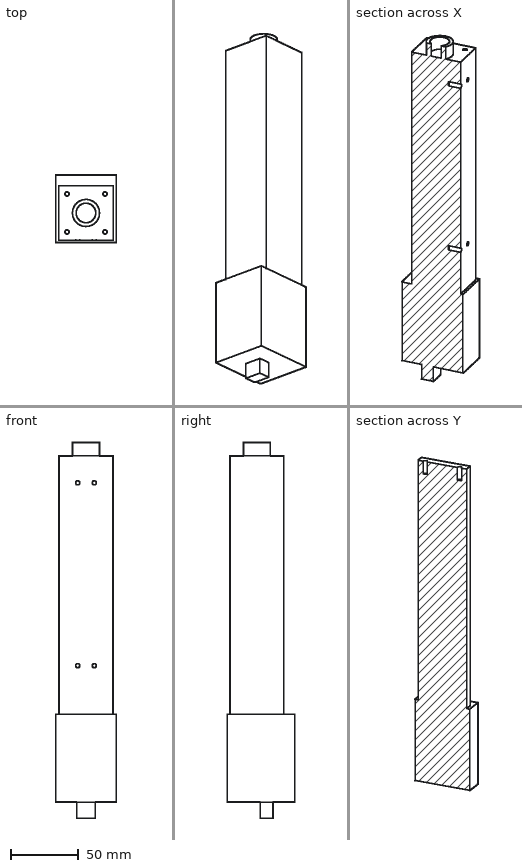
import cadquery as cq

total_height = 278.0
foot_height = 12.0
base_height = 65.0
tube_height = 10.0
column_height = total_height - foot_height - base_height - tube_height

base_width = 45.0
base_depth = 50.0

column_side = 40.0
column_setback = 2.0
column_center_y = column_setback + column_side / 2

foot_width = 14.0
foot_depth = 9.7
foot_center_y = 29.2

tube_diameter = 20.0
bore_diameter = 14.5
bore_depth = tube_height

hole_diameter = 3.0
hole_depth = 10.0
top_hole_spacing = 28.0
front_hole_spacing_x = 12.2
front_hole_spacing_z = 135.0
front_hole_top_margin = 20.0

base_bottom = foot_height
column_bottom = base_bottom + base_height
column_top = column_bottom + column_height


def block(width, depth, height, center_y, bottom):
    """Upright box centred on X = 0."""
    return (
        cq.Workplane("XY", origin=(0, center_y, bottom))
        .rect(width, depth)
        .extrude(height)
    )


def top_holes():
    """Four holes down into the corners of the column top."""
    return (
        cq.Workplane("XY", origin=(0, column_center_y, column_top))
        .rect(top_hole_spacing, top_hole_spacing, forConstruction=True)
        .vertices()
        .circle(hole_diameter / 2)
        .extrude(-hole_depth)
    )


def front_holes():
    """Two pairs of holes into the front face of the column."""
    center_z = column_top - front_hole_top_margin - front_hole_spacing_z / 2
    return (
        cq.Workplane("XZ", origin=(0, column_setback, center_z))
        .rect(front_hole_spacing_x, front_hole_spacing_z, forConstruction=True)
        .vertices()
        .circle(hole_diameter / 2)
        .extrude(-hole_depth)
    )


def tube():
    """Solid cylinder standing on the column."""
    return (
        cq.Workplane("XY", origin=(0, column_center_y, column_top))
        .circle(tube_diameter / 2)
        .extrude(tube_height)
    )


def bore():
    """Round bore cut down from the top of the tube."""
    return (
        cq.Workplane("XY", origin=(0, column_center_y, total_height))
        .circle(bore_diameter / 2)
        .extrude(-bore_depth)
    )


foot = block(foot_width, foot_depth, foot_height, foot_center_y, 0)
base = block(base_width, base_depth, base_height, base_depth / 2, base_bottom)
column = block(column_side, column_side, column_height, column_center_y, column_bottom)

body = base.union(foot).union(column).union(tube())
result = body.cut(bore()).cut(top_holes()).cut(front_holes())